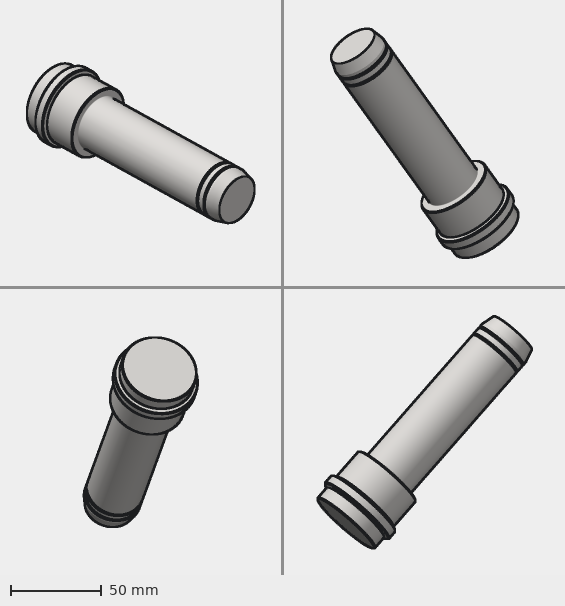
import cadquery as cq

total_length = 141.0
flange_radius = 47.0 / 2
collar_radius = 42.0 / 2
shaft_radius = 32.0 / 2
tip_radius = 14.1

flange_start = 9.0
flange_width = 5.9
head_length = 35.0
edge_break = 0.5
root_fillet = 0.4

groove_width = 1.0

tip_length = 7.2
ring_groove_ends_from_tip = (9.5, 14.5)


def disc(start, end, radius):
    """Solid cylinder along X between two stations."""
    return cq.Workplane("YZ", origin=(start, 0, 0)).circle(radius).extrude(end - start)


def round_groove(start, radius):
    """Ring-shaped cutter with a semicircular section that opens onto a cylinder of the given radius."""
    section = (
        cq.Workplane("XY")
        .moveTo(start, radius)
        .threePointArc((start + groove_width / 2, radius - groove_width / 2), (start + groove_width, radius))
        .close()
    )
    return section.revolve(360, (0, 0, 0), (1, 0, 0))


flange_end = flange_start + flange_width

head = disc(0, head_length, collar_radius).edges().chamfer(edge_break)
for groove_start in (flange_start - groove_width, flange_end):
    head = head.cut(round_groove(groove_start, collar_radius))
head = head.union(disc(flange_start, flange_end, flange_radius).edges().chamfer(edge_break))

shaft = disc(head_length, total_length, shaft_radius)
shaft = shaft.faces(">X").edges().chamfer(tip_length, shaft_radius - tip_radius)
for end_from_tip in ring_groove_ends_from_tip:
    groove_start = total_length - end_from_tip - groove_width
    shaft = shaft.cut(round_groove(groove_start, shaft_radius))

pin = head.union(shaft)
root_zone = cq.selectors.BoxSelector(
    (head_length - root_fillet, -collar_radius, -collar_radius),
    (head_length + root_fillet, collar_radius, collar_radius),
)
root_edge = pin.edges(root_zone).edges("%CIRCLE").edges(cq.selectors.RadiusNthSelector(0))
result = root_edge.fillet(root_fillet)